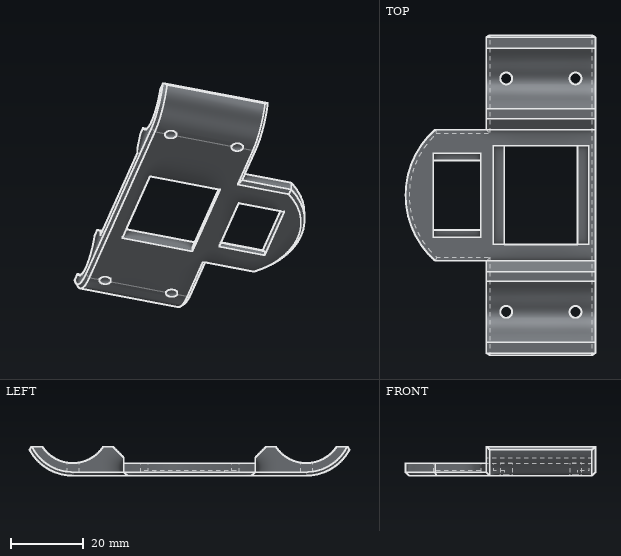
import cadquery as cq
import math

total_height = 8.0
plate_thickness = 3.5
edge_chamfer = 1.0

plate_half_width = 18.0
plate_straight_length = 44.0
nose_radius = 24.0

arm_length = 30.0
cradle_offset = 32.0
groove_radius = 10.0
shell_radius = groove_radius + plate_thickness
cradle_axis_z = shell_radius
hump_chamfer = 3.0

screw_diameter = 3.2
screw_spacing = 19.0

ledge_thickness = 1.5
main_recess_x = 26.2
main_recess_y = 27.0
main_ledge_width = 3.1
nose_recess_x = 13.0
nose_recess_y = 23.0
nose_ledge_width = 2.0
window_gap = 3.4

arm_end_x = arm_length / 2
straight_start_x = arm_end_x - plate_straight_length
nose_sagitta = nose_radius - math.sqrt(nose_radius**2 - plate_half_width**2)
nose_tip_x = straight_start_x - nose_sagitta


def half_chord(radius):
    """Half width, at the top of the part, of a circle around the cradle axis."""
    return math.sqrt(radius**2 - (cradle_axis_z - total_height) ** 2)


def make_plate():
    return (
        cq.Workplane("XY")
        .moveTo(arm_end_x, -plate_half_width)
        .lineTo(arm_end_x, plate_half_width)
        .lineTo(straight_start_x, plate_half_width)
        .threePointArc((nose_tip_x, 0), (straight_start_x, -plate_half_width))
        .close()
        .extrude(plate_thickness)
    )


def make_cradle():
    """Cradle on the +Y side, with its groove concentric to its outer shell."""
    shell_tip_y = cradle_offset + half_chord(shell_radius)
    groove_outer_y = cradle_offset + half_chord(groove_radius)
    groove_inner_y = cradle_offset - half_chord(groove_radius)
    tip_angle = math.acos((cradle_axis_z - total_height) / shell_radius)
    shell_mid_y = cradle_offset + shell_radius * math.sin(tip_angle / 2)
    shell_mid_z = cradle_axis_z - shell_radius * math.cos(tip_angle / 2)
    return (
        cq.Workplane("YZ", origin=(-arm_end_x, 0, 0))
        .moveTo(plate_half_width, 0)
        .lineTo(cradle_offset, 0)
        .threePointArc((shell_mid_y, shell_mid_z), (shell_tip_y, total_height))
        .lineTo(groove_outer_y, total_height)
        .threePointArc((cradle_offset, plate_thickness), (groove_inner_y, total_height))
        .lineTo(plate_half_width + hump_chamfer, total_height)
        .lineTo(plate_half_width, total_height - hump_chamfer)
        .close()
        .extrude(arm_length)
    )


def chamfer_underside(body):
    """Bevel the rim of the flat underside and of the two curved shells that continue it."""
    flat_rim = body.faces("<Z").edges()
    cradle_seams = flat_rim.edges("<Y or >Y")
    shell_ends = body.edges("%CIRCLE").filter(lambda edge: math.isclose(edge.radius(), shell_radius))
    shell_tips = body.edges("<Y or >Y")
    rim = flat_rim.add(shell_ends).add(shell_tips)
    return rim.filter(lambda edge: edge not in cradle_seams.vals()).chamfer(edge_chamfer)


def cut_window(body, centre_x, recess, opening):
    """Cut a recess from the top down to its ledges, and a smaller opening right through."""
    opening_cut = cq.Workplane("XY").center(centre_x, 0).rect(*opening).extrude(plate_thickness)
    recess_cut = (
        cq.Workplane("XY", origin=(centre_x, 0, ledge_thickness))
        .rect(*recess)
        .extrude(plate_thickness - ledge_thickness)
    )
    return body.cut(opening_cut).cut(recess_cut)


def drill_screw_holes(body):
    drills = (
        cq.Workplane("XY")
        .rarray(screw_spacing, 2 * cradle_offset, 2, 2)
        .circle(screw_diameter / 2)
        .extrude(total_height)
    )
    return body.cut(drills)


main_window_x = 0.0
nose_window_x = main_window_x - main_recess_x / 2 - window_gap - nose_recess_x / 2
main_opening_x = main_recess_x - 2 * main_ledge_width
nose_opening_y = nose_recess_y - 2 * nose_ledge_width

cradle = make_cradle()
body = make_plate().union(cradle).union(cradle.mirror("XZ")).clean()
body = chamfer_underside(body)
body = cut_window(body, main_window_x, (main_recess_x, main_recess_y), (main_opening_x, main_recess_y))
body = cut_window(body, nose_window_x, (nose_recess_x, nose_recess_y), (nose_recess_x, nose_opening_y))
result = drill_screw_holes(body)